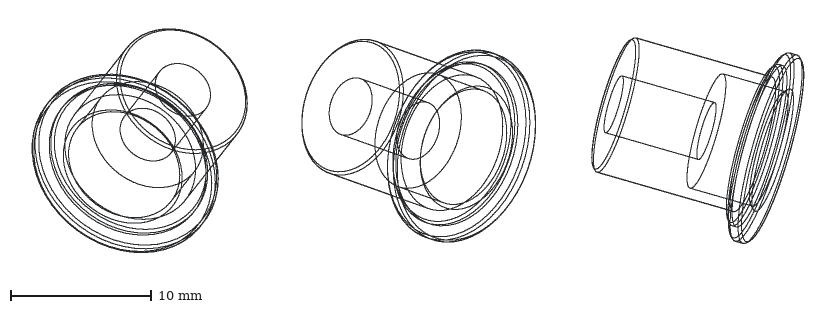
import cadquery as cq

flange_diameter = 14.0
flange_thickness = 1.0
shoulder_diameter = 12.0
shoulder_thickness = 0.5
body_diameter = 10.0
total_length = 12.0
edge_chamfer = 0.2

bore_diameter = 8.5
bore_depth = 5.0
bore_chamfer = 0.3
end_hole_diameter = 4.23


def cylinder(diameter, start, length):
    """Solid cylinder on the Y axis, reaching from start towards +Y."""
    plane = cq.Plane(origin=(0, start, 0), xDir=(1, 0, 0), normal=(0, 1, 0))
    return cq.Workplane(plane).circle(diameter / 2).extrude(length)


shoulder_end = flange_thickness + shoulder_thickness
flange = cylinder(flange_diameter, 0, flange_thickness).edges().chamfer(edge_chamfer)
shoulder = cylinder(shoulder_diameter, flange_thickness, shoulder_thickness)
shoulder = shoulder.faces(">Y").edges().chamfer(edge_chamfer)
body = cylinder(body_diameter, shoulder_end, total_length - shoulder_end)
body = body.faces(">Y").edges().chamfer(edge_chamfer)

bore = cylinder(bore_diameter, 0, bore_depth)
mouth = cq.Workplane(
    cq.Solid.makeCone(
        bore_diameter / 2 + bore_chamfer,
        bore_diameter / 2,
        bore_chamfer,
        pnt=cq.Vector(0, 0, 0),
        dir=cq.Vector(0, 1, 0),
    )
)
end_hole = cylinder(end_hole_diameter, 0, total_length)

result = flange.union(shoulder).union(body).cut(bore).cut(mouth).cut(end_hole)